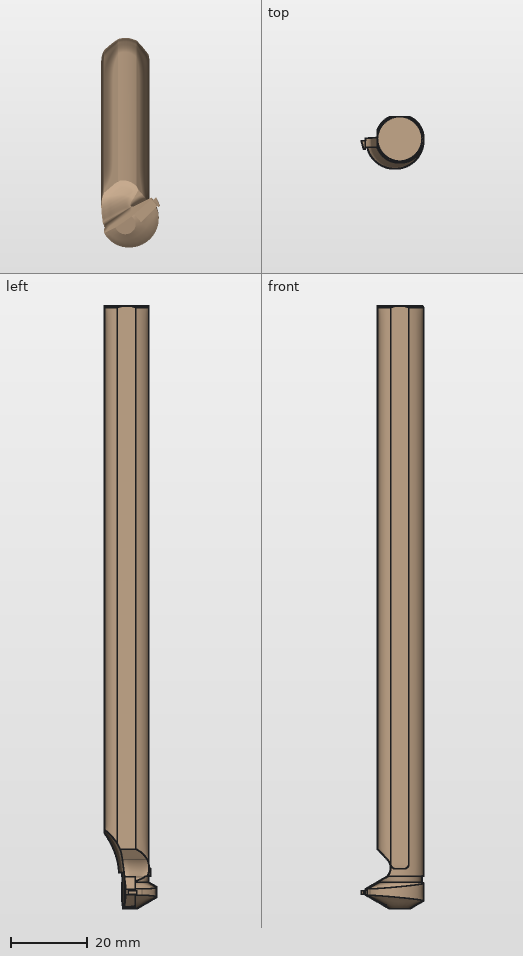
import cadquery as cq
import math

total_length = 157.5
shank_radius = 6.3
flat_offset = 5.8
top_chamfer = 0.5
shank_end_z = 8.5
front_flat_end_z = 10.4
flat_corner_radius = 1.4
flat_width = 2 * math.sqrt(shank_radius**2 - flat_offset**2)
neck_radius = 5.8
neck_bottom_z = 3.1

cone_slope = math.tan(math.radians(30))
tip_radius = 2.7
head_edge_z = 6.6
head_top_radius = 2.4
head_round_radius = 7.5
head_round_x = -1.3
head_round_y = -0.3

relief_top_z = 15.6
relief_arc_x = -3.3
relief_arc_top_z = 12.9
relief_floor_gap = 0.08

flute_bottom_y = 1.02
flute_top_y = 6.0
flute_top_z = 20.5
flute_angle = 9.0
rake_face_y = 0.8
rake_angle = 4.0
rake_top_z = 9.5

insert_back_y = -2.2
insert_inner_x = -3.5
insert_outer_x = -9.0
nib_end_x = -10.0
nib_bottom_z = 3.8
nib_top_z = 4.7
nib_heel_x = -9.5
nib_heel_y = -2.7
nib_face_y = -0.5

cut_reach = 31.5


def upper_cone_z(radius):
    return head_edge_z + (shank_radius - radius) * cone_slope


def relief_floor_z(radius):
    return upper_cone_z(radius) + relief_floor_gap


def lower_cone_z(radius):
    return (radius - tip_radius) * cone_slope


def make_flute():
    """Cutter for the +Y side of the shank, curving out from the head."""
    flute = (
        cq.Workplane("YZ", origin=(-cut_reach / 2, 0, 0))
        .moveTo(flute_bottom_y, 0)
        .lineTo(flute_bottom_y, shank_end_z)
        .tangentArcPoint((flute_top_y, flute_top_z), relative=False)
        .lineTo(cut_reach, flute_top_z)
        .lineTo(cut_reach, 0)
        .close()
        .extrude(cut_reach)
    )
    return flute.rotate((0, 0, 0), (0, 0, 1), flute_angle)


def make_rake_cut():
    """Cutter that leaves the flat, slightly turned rake face on the head."""
    block = cq.Workplane("XY").box(cut_reach, cut_reach, 2 * rake_top_z)
    block = block.translate((0, rake_face_y + cut_reach / 2, 0))
    return block.rotate((0, 0, 0), (0, 0, 1), rake_angle)


def make_shank():
    length = total_length - shank_end_z
    shank = (
        cq.Workplane("XY", origin=(0, 0, shank_end_z))
        .circle(shank_radius)
        .extrude(length)
        .faces(">Z")
        .chamfer(top_chamfer)
    )
    side = cq.Workplane("XY").box(cut_reach, cut_reach, 2 * total_length)
    shank = shank.cut(side.translate((-flat_offset - cut_reach / 2, 0, total_length)))
    shank = shank.cut(side.translate((0, flat_offset + cut_reach / 2, total_length)))
    front_flat = (
        cq.Workplane("XZ", origin=(0, -flat_offset, 0))
        .rect(flat_width, total_length)
        .extrude(cut_reach)
        .edges("|Y and <Z")
        .fillet(flat_corner_radius)
        .translate((0, 0, front_flat_end_z + total_length / 2))
    )
    shank = shank.cut(front_flat)
    neck = (
        cq.Workplane("XY", origin=(0, 0, neck_bottom_z))
        .circle(neck_radius)
        .extrude(shank_end_z - neck_bottom_z)
    )
    return shank.union(neck)


def make_side_relief():
    return (
        cq.Workplane("XZ", origin=(0, cut_reach / 2, 0))
        .moveTo(-flat_offset, relief_top_z)
        .lineTo(relief_arc_x, relief_arc_top_z)
        .tangentArcPoint((relief_arc_x, relief_floor_z(-relief_arc_x)), relative=False)
        .lineTo(-cut_reach, relief_floor_z(cut_reach))
        .lineTo(-cut_reach, relief_top_z)
        .close()
        .extrude(cut_reach)
    )


def make_head():
    rim = head_round_radius - head_round_x
    cones = (
        cq.Workplane("XZ")
        .polyline([
            (0, 0),
            (tip_radius, 0),
            (rim, lower_cone_z(rim)),
            (rim, upper_cone_z(rim)),
            (head_top_radius, upper_cone_z(head_top_radius)),
            (0, upper_cone_z(head_top_radius)),
        ])
        .close()
        .revolve(360, (0, 0, 0), (0, 1, 0))
    )
    eccentric_round = (
        cq.Workplane("XY")
        .center(head_round_x, head_round_y)
        .circle(head_round_radius)
        .extrude(cut_reach)
    )
    return cones.intersect(eccentric_round)


def make_insert():
    """Tapered plate following both cone slopes, ending in the nib."""
    inner = -insert_inner_x
    outer = -insert_outer_x
    plate = (
        cq.Workplane("XZ", origin=(0, insert_back_y, 0))
        .polyline([
            (insert_inner_x, lower_cone_z(inner)),
            (insert_outer_x, lower_cone_z(outer)),
            (insert_outer_x, relief_floor_z(outer)),
            (insert_inner_x, relief_floor_z(inner)),
        ])
        .close()
        .extrude(-cut_reach)
        .cut(make_rake_cut())
    )
    nib = (
        cq.Workplane("XY", origin=(0, 0, nib_bottom_z))
        .polyline([
            (nib_end_x, nib_face_y),
            (insert_outer_x, nib_face_y),
            (insert_outer_x, nib_heel_y),
            (nib_heel_x, nib_heel_y),
        ])
        .close()
        .extrude(nib_top_z - nib_bottom_z)
    )
    return plate.union(nib)


insert = make_insert()
shank = make_shank().cut(make_flute()).cut(make_rake_cut())
head = make_head().cut(make_rake_cut())
holder = shank.union(head).cut(make_side_relief()).cut(insert)

result = cq.Compound.makeCompound([holder.val(), insert.val()])